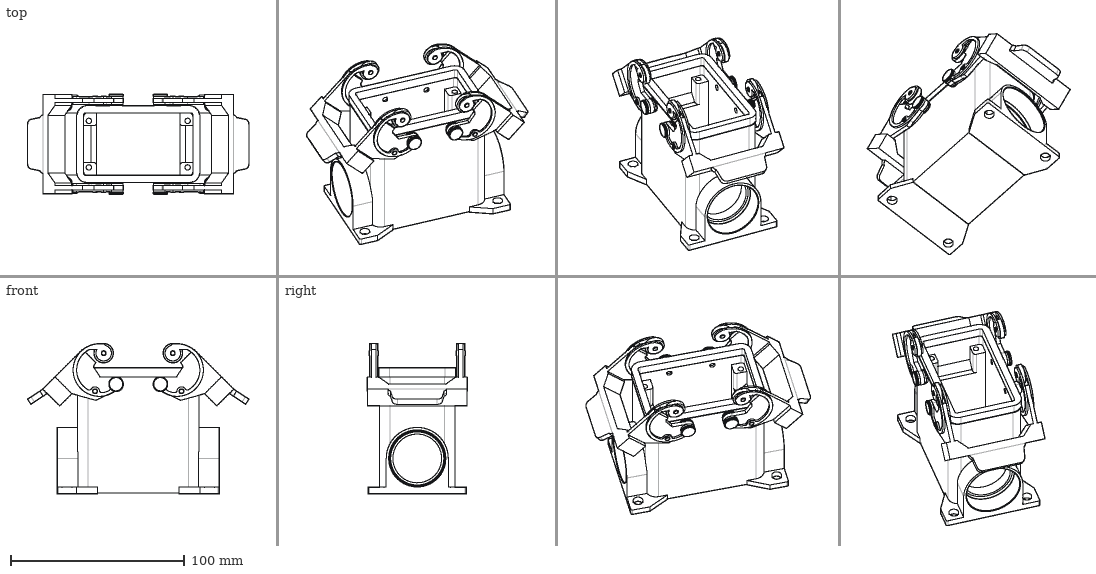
import cadquery as cq
import math

BODY_HALF_X = 35.2
BODY_HALF_Y = 21.9
BODY_CORNER = 6.1
BODY_BOTTOM = 0.4
RIM_STEP = 0.4
RIM_BOTTOM = 67.5
RIM_TOP = 73.0

CAVITY_HALF_X = 31.5
CAVITY_HALF_Y = 17.9
CAVITY_CORNER = 1.8
CAVITY_RIM_STEP = 0.1
CAVITY_RIM_CORNER = 1.3
CAVITY_FLOOR = 3.8

END_WALL_X = 24.0
LEDGE_Z = 46.3
RAMP_X = 27.3
POST_TOP = 60.9
POST_INNER_Y = 10.6
POST_ROUND = 1.7
POST_HOLE_X = 28.5
POST_HOLE_Y = 13.5
POST_HOLE_RADIUS = 1.5
POST_HOLE_DEPTH = 10.2

ENTRY_END_X = 46.8
ENTRY_RADIUS = 17.9
ENTRY_Z = 20.5
ENTRY_BORE = [(0, 16.5), (0.4, 16.1), (10.4, 16.1), (10.4, 15.9), (11.9, 15.4), (11.9, 14.1), (18.4, 14.1)]

FOOT_HALF_Y = 28.4
FOOT_HEIGHT = 3.8
FOOT_BEND_X = 35.7
FOOT_TIP_X = 23.7
FOOT_CORNER = 0.9
FOOT_HOLE_X = 41.2
FOOT_HOLE_Y = 22.1
FOOT_HOLE_DIAMETER = 5.6

BAR_EDGE_X = -55.2
BAR_EDGE_Z = 60.5
BAR_HALF_Y = 28.8
BAR_DEPTH = 13.8
BAR_ARM = 10.0
BAR_WEB = 4.2
BAR_NOTCH_TOP_Y = 22.4
BAR_NOTCH_BASE_Y = 16.6

TAB_SLOPE = 33.5
TAB_TIP_X = -64.0
TAB_THICKNESS = 3.6
TAB_ROOT_Y = 16.9
TAB_NECK_Y = 15.5
TAB_TIP_Y = 14.0
TAB_FLARE = 2.0
TAB_FLARE_BOW = 0.3
TAB_CORNER = 3.1
TAB_ROOT_OVERLAP = 2.5

PLATE_INNER_Y = 23.9
PLATE_OUTER_Y = 26.4
PLATE_CUT = 32.5
PLATE_CUT_WIDTH = 10.9
PLATE_NECK_X = -25.6
PLATE_NECK_TOP_Z = 74.0
PLATE_NECK_BOTTOM_Z = 72.8
PLATE_SHOULDER_X = -21.9
PLATE_TOE_X = -21.1
PLATE_TOE_Z = 55.7
PLATE_LOWEST_X = -24.5
PLATE_LOWEST_Z = 54.0
CLADDING_THICKNESS = 1.2

DISC_X = -22.4
DISC_Z = 71.5
DISC_RADIUS = 15.2
CRESCENT_INNER_RADIUS = 13.2
HOOK_UNDERSIDE_Z = 83.3
HOOK_ROOT_X = -29.5
ROLLER_X = -20.0
ROLLER_Z = 81.3
ROLLER_RADIUS = 5.6
KNOB_RADIUS = 4.5
RIVET_X = -25.0
RIVET_Z = 59.3
RIVET_PAD_RADIUS = 2.5
CRESCENT_BLEND = 1.5
RIVET_RADIUS = 1.4
RIVET_CHAMFER = 0.3
RIVET_STANDOUT = 0.4

PIN_X = -12.8
PIN_Z = 63.4
PIN_HEAD_RADIUS = 4.2
PIN_SHANK_RADIUS = 3.7
PIN_HEAD_INNER_Y = 27.9
PLATE_EYE_RADIUS = 4.2
CLADDING_EYE_RADIUS = 4.1
PIN_OUTER_Y = 28.99
PIN_CHAMFER = 0.4
PIN_END_HOLE_RADIUS = 1.5
PIN_END_HOLE_DEPTH = 1.3


def span_box(x0, x1, y0, y1, z0, z1):
    return cq.Workplane("XY").box(x1 - x0, y1 - y0, z1 - z0, centered=False).translate((x0, y0, z0))


def rounded_block(half_x, half_y, corner, bottom, top):
    block = cq.Workplane("XY").workplane(offset=bottom).rect(2 * half_x, 2 * half_y)
    return block.extrude(top - bottom).edges("|Z").fillet(corner)


def both_x(solid):
    return solid.union(solid.mirror("YZ"))


def both_y(solid):
    return solid.union(solid.mirror("XZ"))


def side_plane(y):
    """Sketch plane at -y; its extrusions grow outwards, towards -Y."""
    return cq.Workplane("XZ", origin=(0, -y, 0))


def side_disc(x, z, radius, inner_y, outer_y):
    return side_plane(inner_y).center(x, z).circle(radius).extrude(outer_y - inner_y)


def entry_boss():
    """Arched boss of the -X cable entry, run into the end wall."""
    length = ENTRY_END_X - END_WALL_X
    arch = (
        cq.Workplane("YZ", origin=(-ENTRY_END_X, 0, 0))
        .moveTo(-ENTRY_RADIUS, BODY_BOTTOM)
        .lineTo(-ENTRY_RADIUS, ENTRY_Z)
        .threePointArc((0, ENTRY_Z + ENTRY_RADIUS), (ENTRY_RADIUS, ENTRY_Z))
        .lineTo(ENTRY_RADIUS, BODY_BOTTOM)
        .close()
    )
    return arch.extrude(length)


def entry_bore():
    mouth = cq.Workplane("XY", origin=(-ENTRY_END_X, 0, ENTRY_Z))
    bottom_depth = ENTRY_BORE[-1][0]
    profile = mouth.polyline([(0, 0)] + ENTRY_BORE + [(bottom_depth, 0)]).close()
    return profile.revolve(360, (0, 0, 0), (1, 0, 0))


def foot():
    outline = [
        (-ENTRY_END_X, -FOOT_HALF_Y),
        (-FOOT_BEND_X, -FOOT_HALF_Y),
        (-FOOT_TIP_X, -BODY_HALF_Y),
        (-FOOT_TIP_X, BODY_HALF_Y),
        (-FOOT_BEND_X, FOOT_HALF_Y),
        (-ENTRY_END_X, FOOT_HALF_Y),
    ]
    plate = cq.Workplane("XY").polyline(outline).close().extrude(FOOT_HEIGHT)
    plate = plate.edges("|Z and <X").fillet(FOOT_CORNER)
    hole_places = [(-FOOT_HOLE_X, -FOOT_HOLE_Y), (-FOOT_HOLE_X, FOOT_HOLE_Y)]
    holes = cq.Workplane("XY").pushPoints(hole_places).circle(FOOT_HOLE_DIAMETER / 2).extrude(FOOT_HEIGHT)
    return plate.cut(holes)


def end_wall():
    """Thick end wall at -X with a flat ledge and a ramp up to the cavity side."""
    ramp_top = LEDGE_Z + BODY_HALF_X - RAMP_X
    outline = [
        (-END_WALL_X, BODY_BOTTOM),
        (-END_WALL_X, LEDGE_Z),
        (-RAMP_X, LEDGE_Z),
        (-BODY_HALF_X, ramp_top),
        (-BODY_HALF_X, BODY_BOTTOM),
    ]
    half_width = (BODY_HALF_Y + CAVITY_HALF_Y) / 2
    wall = cq.Workplane("XZ").polyline(outline).close().extrude(half_width, both=True)
    envelope = rounded_block(BODY_HALF_X, BODY_HALF_Y, BODY_CORNER, BODY_BOTTOM, RIM_BOTTOM)
    return wall.intersect(envelope)


def contact_post():
    """Screw post in the -X, -Y corner of the cavity."""
    wall_x = (CAVITY_HALF_X + BODY_HALF_X) / 2
    wall_y = (CAVITY_HALF_Y + BODY_HALF_Y) / 2
    post = span_box(-wall_x, -END_WALL_X, -wall_y, -POST_INNER_Y, CAVITY_FLOOR, POST_TOP)
    post = post.edges("|Z and >X and >Y").fillet(POST_ROUND)
    hole_bottom = POST_TOP - POST_HOLE_DEPTH
    profile = [
        (0, POST_TOP),
        (POST_HOLE_RADIUS, POST_TOP),
        (POST_HOLE_RADIUS, hole_bottom),
        (0, hole_bottom - POST_HOLE_RADIUS),
    ]
    hole = cq.Workplane("XZ").polyline(profile).close().revolve(360, (0, 0, 0), (0, 1, 0))
    return post.cut(hole.translate((-POST_HOLE_X, -POST_HOLE_Y, 0)))


def housing():
    rim_x = BODY_HALF_X + RIM_STEP
    rim_y = BODY_HALF_Y + RIM_STEP
    body = rounded_block(BODY_HALF_X, BODY_HALF_Y, BODY_CORNER, BODY_BOTTOM, RIM_TOP)
    body = body.union(rounded_block(rim_x, rim_y, BODY_CORNER, RIM_BOTTOM, RIM_TOP))
    body = body.union(both_x(entry_boss())).union(both_x(foot()))

    cavity = rounded_block(CAVITY_HALF_X, CAVITY_HALF_Y, CAVITY_CORNER, CAVITY_FLOOR, RIM_TOP)
    rim_cavity_x = CAVITY_HALF_X + CAVITY_RIM_STEP
    rim_cavity_y = CAVITY_HALF_Y + CAVITY_RIM_STEP
    rim_cavity = rounded_block(rim_cavity_x, rim_cavity_y, CAVITY_RIM_CORNER, RIM_BOTTOM, RIM_TOP)
    body = body.cut(cavity).cut(rim_cavity)

    body = body.union(both_x(end_wall())).union(both_x(both_y(contact_post())))
    return body.cut(both_x(entry_bore()))


def lever_point(along, across):
    """Point of the 45 degree lever, measured from the bar's outer top edge."""
    diagonal = math.sqrt(0.5)
    return (BAR_EDGE_X + (along + across) * diagonal, BAR_EDGE_Z + (along - across) * diagonal)


def cross_bar():
    outline = [(0, 0), (BAR_ARM, 0), (BAR_ARM, BAR_DEPTH), (0, BAR_DEPTH)]
    bar = cq.Workplane("XZ").polyline([lever_point(*p) for p in outline]).close()
    bar = bar.extrude(BAR_HALF_Y, both=True)
    face = cq.Plane(origin=(BAR_EDGE_X, 0, BAR_EDGE_Z), xDir=(0, 1, 0), normal=(1, 0, -1))
    notch = [
        (-BAR_NOTCH_BASE_Y, BAR_WEB),
        (BAR_NOTCH_BASE_Y, BAR_WEB),
        (BAR_NOTCH_TOP_Y, BAR_ARM),
        (-BAR_NOTCH_TOP_Y, BAR_ARM),
    ]
    return bar.cut(cq.Workplane(face).polyline(notch).close().extrude(BAR_DEPTH))


def finger_tab():
    slope = math.radians(TAB_SLOPE)
    outward = (-math.cos(slope), 0, -math.sin(slope))
    downward = (math.sin(slope), 0, -math.cos(slope))
    top_face = cq.Plane(origin=(BAR_EDGE_X, 0, BAR_EDGE_Z), xDir=outward, normal=downward)
    length = (BAR_EDGE_X - TAB_TIP_X) / math.cos(slope)
    tab = (
        cq.Workplane(top_face)
        .moveTo(-TAB_ROOT_OVERLAP, TAB_ROOT_Y)
        .lineTo(0, TAB_ROOT_Y)
        .sagittaArc((TAB_FLARE, TAB_NECK_Y), TAB_FLARE_BOW)
        .lineTo(length, TAB_TIP_Y)
        .lineTo(length, -TAB_TIP_Y)
        .lineTo(TAB_FLARE, -TAB_NECK_Y)
        .sagittaArc((0, -TAB_ROOT_Y), TAB_FLARE_BOW)
        .lineTo(-TAB_ROOT_OVERLAP, -TAB_ROOT_Y)
        .close()
        .extrude(TAB_THICKNESS)
    )
    return tab.faces("<X").edges("not |Y").fillet(TAB_CORNER)


def side_plate():
    """Flat steel plate of the -Y side."""
    disc_dx = PIN_X - DISC_X
    disc_edge_z = DISC_Z - math.sqrt(DISC_RADIUS**2 - disc_dx**2)
    outline = [
        lever_point(BAR_ARM, 0),
        lever_point(PLATE_CUT, 0),
        lever_point(PLATE_CUT, PLATE_CUT_WIDTH),
        (PLATE_NECK_X, PLATE_NECK_TOP_Z),
        (PLATE_NECK_X, PLATE_NECK_BOTTOM_Z),
        (PLATE_SHOULDER_X, RIM_BOTTOM),
        (PIN_X, RIM_BOTTOM),
        (PIN_X, disc_edge_z),
        (PLATE_TOE_X, PLATE_TOE_Z),
        (PLATE_LOWEST_X, PLATE_LOWEST_Z),
        lever_point(BAR_ARM, BAR_DEPTH),
    ]
    thickness = PLATE_OUTER_Y - PLATE_INNER_Y
    return side_plane(PLATE_INNER_Y).polyline(outline).close().extrude(thickness)


def cladding(inner_y):
    """Crescent hook with its knob, rivet pad and pin eye, one layer of the sandwich."""
    outer_y = inner_y + CLADDING_THICKNESS
    disc = side_disc(DISC_X, DISC_Z, DISC_RADIUS, inner_y, outer_y)
    crescent = disc.cut(side_disc(DISC_X, DISC_Z, CRESCENT_INNER_RADIUS, inner_y, outer_y))
    right = DISC_X + DISC_RADIUS
    top = DISC_Z + DISC_RADIUS
    crescent = crescent.cut(span_box(ROLLER_X, right, -outer_y, -inner_y, PIN_Z, top))
    hook = disc.intersect(span_box(HOOK_ROOT_X, ROLLER_X, -outer_y, -inner_y, HOOK_UNDERSIDE_Z, top))
    knob_side = KNOB_RADIUS * math.sqrt(0.5)
    disc_height = math.sqrt(DISC_RADIUS**2 - (ROLLER_X - DISC_X) ** 2)
    shoulder = [
        (ROLLER_X, ROLLER_Z),
        (ROLLER_X, DISC_Z + disc_height),
        (ROLLER_X + knob_side, ROLLER_Z + knob_side),
    ]
    layer = crescent.union(hook)
    layer = layer.union(side_plane(inner_y).polyline(shoulder).close().extrude(CLADDING_THICKNESS))
    layer = layer.union(side_disc(ROLLER_X, ROLLER_Z, KNOB_RADIUS, inner_y, outer_y))
    layer = layer.union(side_disc(RIVET_X, RIVET_Z, RIVET_PAD_RADIUS, inner_y, outer_y))
    layer = layer.union(side_disc(PIN_X, PIN_Z, CLADDING_EYE_RADIUS, inner_y, outer_y))
    hollow_corners = cq.selectors.BoxSelector(
        (DISC_X - DISC_RADIUS, -outer_y, DISC_Z - DISC_RADIUS),
        (PIN_X - CLADDING_EYE_RADIUS / 2, -inner_y, PIN_Z),
    )
    return layer.edges("|Y").edges(hollow_corners).fillet(CRESCENT_BLEND)


def rivet(x, z):
    inner_y = PLATE_INNER_Y - CLADDING_THICKNESS - RIVET_STANDOUT
    outer_y = PLATE_OUTER_Y + CLADDING_THICKNESS + RIVET_STANDOUT
    return side_disc(x, z, RIVET_RADIUS, inner_y, outer_y).faces("|Y").chamfer(RIVET_CHAMFER)


def pivot_pin():
    shank = side_disc(PIN_X, PIN_Z, PIN_SHANK_RADIUS, CAVITY_HALF_Y, PIN_OUTER_Y)
    head = side_disc(PIN_X, PIN_Z, PIN_HEAD_RADIUS, PIN_HEAD_INNER_Y, PIN_OUTER_Y)
    return shank.union(head.faces("<Y").chamfer(PIN_CHAMFER))


def lever_side():
    side = side_plate()
    side = side.union(side_disc(ROLLER_X, ROLLER_Z, ROLLER_RADIUS, PLATE_INNER_Y, PLATE_OUTER_Y))
    side = side.union(side_disc(PIN_X, PIN_Z, PLATE_EYE_RADIUS, PLATE_INNER_Y, PLATE_OUTER_Y))
    side = side.union(cladding(PLATE_INNER_Y - CLADDING_THICKNESS)).union(cladding(PLATE_OUTER_Y))
    side = side.union(rivet(ROLLER_X, ROLLER_Z)).union(rivet(RIVET_X, RIVET_Z))
    return side.union(pivot_pin())


def lever():
    return cross_bar().union(finger_tab()).union(both_y(lever_side()))


def pin_end_hole():
    hole_end = CAVITY_HALF_Y + PIN_END_HOLE_DEPTH
    return side_disc(PIN_X, PIN_Z, PIN_END_HOLE_RADIUS, CAVITY_HALF_Y, hole_end)


result = housing().union(both_x(lever())).cut(both_x(both_y(pin_end_hole())))